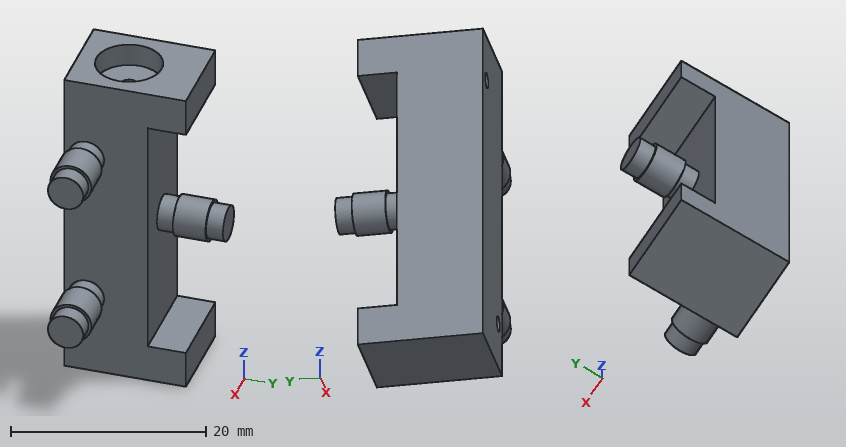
import cadquery as cq

body_width = 10.0
body_height = 35.0
spine_depth = 9.0
body_depth = 13.1
foot_height = 4.15

connector_length = 7.1
barrel_diameter = 3.8
collar_diameter = 4.4
collar_length = 3.5
side_connector_y = 2.4
side_connector_z = 8.5

seat_diameter = 7.0
seat_depth = 2.5
bore_y = 5.4
bore_mouth_diameter = 1.57
bore_mouth_depth = 0.5
bore_diameter = 1.4

cavity_diameter = 4.0
cavity_start_y = bore_y - bore_mouth_diameter / 2
cavity_flare_offset = 0.3
cavity_flare_y = bore_y + cavity_flare_offset
cavity_end_y = bore_y + bore_mouth_diameter / 2

mount_diameter = 1.57
mount_depth = 3.0
mount_x = 3.0
mount_z = 12.5


def cylinder(diameter, length, start, direction):
    return cq.Workplane(cq.Solid.makeCylinder(diameter / 2, length, cq.Vector(*start), cq.Vector(*direction)))


def make_body():
    block = cq.Workplane().box(body_width, body_depth, body_height, centered=(True, False, True))
    notch = (
        cq.Workplane()
        .box(body_width, body_depth - spine_depth, body_height - 2 * foot_height, centered=(True, False, True))
        .translate((0, spine_depth, 0))
    )
    return block.cut(notch)


def make_connector(base, direction):
    axis = cq.Vector(*direction)
    collar_start = cq.Vector(*base) + axis * ((connector_length - collar_length) / 2)
    barrel = cylinder(barrel_diameter, connector_length, base, direction)
    collar = cylinder(collar_diameter, collar_length, collar_start.toTuple(), direction)
    return barrel.union(collar)


def make_seat_and_bore():
    seat_floor_z = body_height / 2 - seat_depth
    down = (0, 0, -1)
    seat = cylinder(seat_diameter, seat_depth, (0, bore_y, body_height / 2), down)
    mouth = cylinder(bore_mouth_diameter, bore_mouth_depth, (0, bore_y, seat_floor_z), down)
    bore = cylinder(bore_diameter, seat_floor_z, (0, bore_y, seat_floor_z), down)
    return seat.union(mouth).union(bore)


def make_cavity():
    radius = cavity_diameter / 2
    flared_radius = radius + cavity_end_y - cavity_flare_y
    half_section = [
        (0, cavity_start_y),
        (radius, cavity_start_y),
        (radius, cavity_flare_y),
        (flared_radius, cavity_end_y),
        (0, cavity_end_y),
    ]
    return cq.Workplane("XY").polyline(half_section).close().revolve(360, (0, 0, 0), (0, 1, 0))


def make_mounting_holes():
    into_front = (0, 1, 0)
    upper_left = cylinder(mount_diameter, mount_depth, (-mount_x, 0, mount_z), into_front)
    lower_right = cylinder(mount_diameter, mount_depth, (mount_x, 0, -mount_z), into_front)
    return upper_left.union(lower_right)


result = make_body().cut(make_seat_and_bore()).cut(make_cavity()).cut(make_mounting_holes())

for side_z in (side_connector_z, -side_connector_z):
    result = result.union(make_connector((body_width / 2, side_connector_y, side_z), (1, 0, 0)))
result = result.union(make_connector((0, spine_depth, 0), (0, 1, 0)))